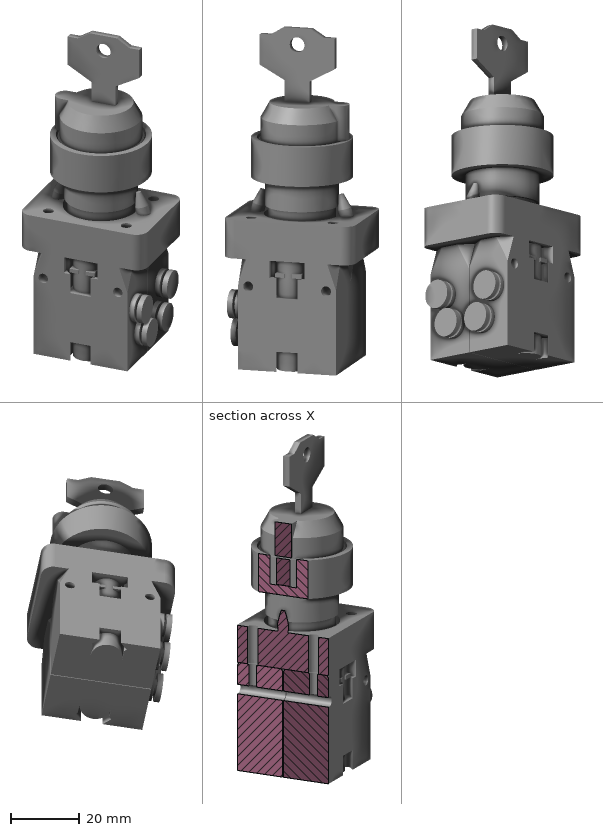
import cadquery as cq
import math

BLOCK_HEIGHT = 33.3
PLATE_THICKNESS = 11.6
NECK_STEP_Z = 47.4
BEZEL_BOTTOM_Z = 56.0
BEZEL_TOP_Z = 67.8
KNOB_CONE_Z = 73.9
KNOB_TOP_Z = 78.4
KEY_TOP_Z = 100.5
PLATE_TOP_Z = BLOCK_HEIGHT + PLATE_THICKNESS

PLATE_LENGTH = 40.0
PLATE_WIDTH = 30.0
PLATE_CORNER_RADIUS = 3.6
PLATE_BORE_DIAMETER = 22.5
SCREW_SPACING_X = 25.0
SCREW_SPACING_Y = 20.0
SCREW_HOLE_DIAMETER = 3.2

PIN_DIAMETER = 4.0
PIN_TIP_DIAMETER = 1.5
PIN_TILT = 14.0
PIN_OFFSET = 13.7
PIN_SHANK_LENGTH = 2.3
PIN_CONE_LENGTH = 4.4
PIN_ROOT_LENGTH = 2.0

BEZEL_DIAMETER = 30.0
BEZEL_BORE_DIAMETER = 26.5
BEZEL_FLOOR_THICKNESS = 3.0
NECK_DIAMETER = 21.7
SPIGOT_DIAMETER = 20.0
BEZEL_FLOOR_Z = BEZEL_BOTTOM_Z + BEZEL_FLOOR_THICKNESS

KNOB_DIAMETER = 24.3
KNOB_TOP_DIAMETER = 19.2
FLANGE_DIAMETER = 25.5
FLANGE_DROP = 0.5
POINTER_WIDTH = 5.9
POINTER_REACH = 14.5
CORE_DIAMETER = 15.0

KEY_THICKNESS = 2.0
KEY_CENTER_X = 1.2
KEY_HEAD_WIDTH = 23.0
KEY_SHOULDER_WIDTH = 16.5
KEY_CROWN_WIDTH = 8.6
KEY_STEM_WIDTH = 7.6
KEY_STEM_TOP_Z = 84.7
KEY_HEAD_BOTTOM_Z = 88.9
KEY_SHOULDER_Z = 98.1
KEY_HOLE_DIAMETER = 4.5
KEY_HOLE_Z = 95.6

BLOCK_LENGTH = 30.0
BLOCK_GAP = 0.2
BLOCK_DEPTH = (PLATE_WIDTH - BLOCK_GAP) / 2
CORNER_CUT_X = 2.7
CORNER_CUT_Y = 4.4
CORNER_CUT_Z = 7.7
CROSS_HOLE_DIAMETER = 3.0
CROSS_HOLE_OFFSET = 12.0
CROSS_HOLE_Z = 25.1
PILOT_HOLE_DIAMETER = 2.4

SLOT_WIDTH = 6.4
RECESS_WIDTH = 10.8
RECESS_FLOOR_Z = 28.1
UPPER_SLOT_FLOOR_Z = 22.0
LOWER_SLOT_HEIGHT = 6.0
COLUMN_RADIUS = 4.7
COLUMN_SETBACK = 1.4
CATCH_INNER_X = 1.1
CATCH_OUTER_X = 4.0
CATCH_HEIGHT = 1.2
CATCH_SETBACK = 1.1

TERMINAL_DIAMETER = 8.5
TERMINAL_GROOVE_DIAMETER = 5.0
TERMINAL_LENGTH = 3.9
TERMINAL_GROOVE_START = 1.5
TERMINAL_GROOVE_WIDTH = 0.8
TERMINAL_LOWER_Z = 9.3
TERMINAL_SPACING_Z = 9.0
TERMINAL_STAGGER_Y = 1.8


def cylinder(diameter, bottom_z, top_z):
    """Cylinder on the Z axis between two heights."""
    return cq.Workplane("XY", origin=(0, 0, bottom_z)).circle(diameter / 2).extrude(top_z - bottom_z)


def make_pin(side):
    """Pointed pin leaning inwards on the -X (-1) or +X (+1) side of the plate."""
    tilt = math.radians(PIN_TILT)
    axis = (-side * math.sin(tilt), 0, math.cos(tilt))
    base = cq.Plane(origin=(side * PIN_OFFSET, 0, PLATE_TOP_Z), xDir=(0, 1, 0), normal=axis)
    pin_radius = PIN_DIAMETER / 2
    tip_radius = PIN_TIP_DIAMETER / 2
    shank = (
        cq.Workplane(base)
        .workplane(offset=-PIN_ROOT_LENGTH)
        .circle(pin_radius)
        .extrude(PIN_ROOT_LENGTH + PIN_SHANK_LENGTH)
    )
    cone = (
        cq.Workplane(base)
        .workplane(offset=PIN_SHANK_LENGTH)
        .circle(pin_radius)
        .workplane(offset=PIN_CONE_LENGTH)
        .circle(tip_radius)
        .loft()
    )
    return shank.union(cone)


def make_plate():
    """Rounded mounting plate with a central bore, four screw holes and two pins."""
    plate = (
        cq.Workplane("XY", origin=(0, 0, BLOCK_HEIGHT))
        .rect(PLATE_LENGTH, PLATE_WIDTH)
        .extrude(PLATE_THICKNESS)
        .edges("|Z")
        .fillet(PLATE_CORNER_RADIUS)
        .faces(">Z")
        .workplane(origin=(0, 0, PLATE_TOP_Z))
        .hole(PLATE_BORE_DIAMETER)
        .faces(">Z")
        .workplane(origin=(0, 0, PLATE_TOP_Z))
        .rect(SCREW_SPACING_X, SCREW_SPACING_Y, forConstruction=True)
        .vertices()
        .hole(SCREW_HOLE_DIAMETER)
    )
    for side in (-1, 1):
        plate = plate.union(make_pin(side))
    return plate


def make_bezel():
    """Open cup that holds the knob, with a stepped neck down to the blocks."""
    spigot = cylinder(SPIGOT_DIAMETER, BLOCK_HEIGHT, NECK_STEP_Z)
    neck = cylinder(NECK_DIAMETER, NECK_STEP_Z, BEZEL_BOTTOM_Z)
    cup = cylinder(BEZEL_DIAMETER, BEZEL_BOTTOM_Z, BEZEL_TOP_Z)
    cavity = cylinder(BEZEL_BORE_DIAMETER, BEZEL_FLOOR_Z, BEZEL_TOP_Z)
    return spigot.union(neck).union(cup.cut(cavity))


def make_core():
    """Lock core, flush with the top of the knob."""
    return cylinder(CORE_DIAMETER, BEZEL_FLOOR_Z, KNOB_TOP_Z)


def make_knob():
    """Flanged knob with a conical top and a round-ended pointer towards -X."""
    flange_top_z = BEZEL_TOP_Z - FLANGE_DROP
    profile = [
        (0, BEZEL_FLOOR_Z),
        (FLANGE_DIAMETER / 2, BEZEL_FLOOR_Z),
        (FLANGE_DIAMETER / 2, flange_top_z),
        (KNOB_DIAMETER / 2, flange_top_z),
        (KNOB_DIAMETER / 2, KNOB_CONE_Z),
        (KNOB_TOP_DIAMETER / 2, KNOB_TOP_Z),
        (0, KNOB_TOP_Z),
    ]
    body = cq.Workplane("XZ").polyline(profile).close().revolve(360, (0, 0, 0), (0, 1, 0))
    half_width = POINTER_WIDTH / 2
    pointer = (
        cq.Workplane("XY", origin=(0, 0, BEZEL_TOP_Z))
        .moveTo(0, half_width)
        .lineTo(half_width - POINTER_REACH, half_width)
        .threePointArc((-POINTER_REACH, 0), (half_width - POINTER_REACH, -half_width))
        .lineTo(0, -half_width)
        .close()
        .extrude(KNOB_TOP_Z - BEZEL_TOP_Z)
    )
    return body.union(pointer).cut(make_core())


def make_key():
    """Flat key standing on the lock core."""
    right_side = [
        (KEY_STEM_WIDTH / 2, KNOB_TOP_Z),
        (KEY_STEM_WIDTH / 2, KEY_STEM_TOP_Z),
        (KEY_HEAD_WIDTH / 2, KEY_HEAD_BOTTOM_Z),
        (KEY_HEAD_WIDTH / 2, KEY_SHOULDER_Z),
        (KEY_SHOULDER_WIDTH / 2, KEY_SHOULDER_Z),
        (KEY_CROWN_WIDTH / 2, KEY_TOP_Z),
    ]
    left_side = [(-x, z) for x, z in reversed(right_side)]
    outline = cq.Workplane("XZ", origin=(KEY_CENTER_X, 0, 0)).polyline(right_side + left_side).close()
    blank = outline.extrude(KEY_THICKNESS / 2, both=True)
    hole = (
        cq.Workplane("XZ", origin=(KEY_CENTER_X, 0, KEY_HOLE_Z))
        .circle(KEY_HOLE_DIAMETER / 2)
        .extrude(KEY_THICKNESS, both=True)
    )
    return blank.cut(hole)


def corner_cut(corner_x, corner_y, inward_x, inward_y):
    """Tetrahedron that bevels one top corner of a block."""
    corner = cq.Vector(corner_x, corner_y, BLOCK_HEIGHT)
    along_x = corner + cq.Vector(inward_x * CORNER_CUT_X, 0, 0)
    along_y = corner + cq.Vector(0, inward_y * CORNER_CUT_Y, 0)
    below = corner - cq.Vector(0, 0, CORNER_CUT_Z)
    triangles = [
        (corner, along_x, along_y),
        (corner, along_x, below),
        (corner, along_y, below),
        (along_x, along_y, below),
    ]
    faces = [cq.Face.makeFromWires(cq.Wire.makePolygon(points, close=True)) for points in triangles]
    return cq.Workplane(cq.Solid.makeSolid(cq.Shell.makeShell(faces)))


def slot_cutter(mouth_width, bottom_z, top_z, outer_y):
    """Slot whose side walls run from the mouth to the recess width and narrow again to the column."""
    column_y = outer_y + COLUMN_SETBACK + COLUMN_RADIUS
    shoulder_depth = (RECESS_WIDTH - SLOT_WIDTH) / 2
    neck_depth = shoulder_depth + RECESS_WIDTH / 2 - COLUMN_RADIUS
    right_side = [
        (mouth_width / 2, outer_y),
        (RECESS_WIDTH / 2, outer_y + shoulder_depth),
        (COLUMN_RADIUS, outer_y + neck_depth),
        (COLUMN_RADIUS, column_y),
    ]
    left_side = [(-x, y) for x, y in reversed(right_side)]
    height = top_z - bottom_z
    outline = cq.Workplane("XY", origin=(0, 0, bottom_z)).polyline(right_side + left_side).close()
    cavity = outline.extrude(height)
    column = cq.Workplane("XY", origin=(0, column_y, bottom_z)).circle(COLUMN_RADIUS).extrude(height)
    return cavity.cut(column)


def make_catches(outer_y):
    """Two small ledges on the column, level with the recess floor."""
    length = CATCH_OUTER_X - CATCH_INNER_X
    depth = COLUMN_SETBACK + COLUMN_RADIUS - CATCH_SETBACK
    catches = cq.Workplane("XY")
    for side in (-1, 1):
        center_x = side * (CATCH_INNER_X + CATCH_OUTER_X) / 2
        ledge = cq.Workplane("XY").box(length, depth, CATCH_HEIGHT, centered=(True, False, False))
        catches = catches.add(ledge.translate((center_x, outer_y + CATCH_SETBACK, RECESS_FLOOR_Z)))
    return catches.combine()


def make_terminal(y, z):
    """Grooved terminal screw head on the +X face of a block."""
    base = cq.Workplane("YZ", origin=(BLOCK_LENGTH / 2, y, z))
    head = base.circle(TERMINAL_DIAMETER / 2).extrude(TERMINAL_LENGTH)
    groove = (
        base.workplane(offset=TERMINAL_GROOVE_START)
        .circle(TERMINAL_DIAMETER / 2)
        .circle(TERMINAL_GROOVE_DIAMETER / 2)
        .extrude(TERMINAL_GROOVE_WIDTH)
    )
    return head.cut(groove)


def make_front_block():
    """Contact block on the -Y side."""
    outer_y = -PLATE_WIDTH / 2
    half_length = BLOCK_LENGTH / 2
    block = (
        cq.Workplane("XY", origin=(0, outer_y, 0))
        .box(BLOCK_LENGTH, BLOCK_DEPTH, BLOCK_HEIGHT, centered=(True, False, False))
    )

    for side in (-1, 1):
        block = block.cut(corner_cut(side * half_length, outer_y, -side, 1))
        block = block.cut(corner_cut(side * half_length, outer_y + BLOCK_DEPTH, -side, -1))

    for side in (-1, 1):
        cross_hole = (
            cq.Workplane("XZ", origin=(side * CROSS_HOLE_OFFSET, 0, CROSS_HOLE_Z))
            .circle(CROSS_HOLE_DIAMETER / 2)
            .extrude(PLATE_WIDTH)
        )
        pilot_hole = cylinder(PILOT_HOLE_DIAMETER, CROSS_HOLE_Z, BLOCK_HEIGHT)
        pilot_position = (side * SCREW_SPACING_X / 2, -SCREW_SPACING_Y / 2, 0)
        block = block.cut(cross_hole).cut(pilot_hole.translate(pilot_position))

    block = block.cut(slot_cutter(RECESS_WIDTH, RECESS_FLOOR_Z, BLOCK_HEIGHT, outer_y))
    block = block.cut(slot_cutter(SLOT_WIDTH, UPPER_SLOT_FLOOR_Z, RECESS_FLOOR_Z, outer_y))
    block = block.cut(slot_cutter(SLOT_WIDTH, 0, LOWER_SLOT_HEIGHT, outer_y))
    block = block.union(make_catches(outer_y))

    middle_y = outer_y + BLOCK_DEPTH / 2
    for level, shift_y in enumerate((TERMINAL_STAGGER_Y, -TERMINAL_STAGGER_Y)):
        height = TERMINAL_LOWER_Z + level * TERMINAL_SPACING_Z
        block = block.union(make_terminal(middle_y + shift_y, height))
    return block


key = make_key()
core = make_core()
knob = make_knob()
bezel = make_bezel()
plate = make_plate()
front_block = make_front_block()
blocks = [front_block, front_block.mirror("XZ")]

result = cq.Compound.makeCompound(
    [key.val(), core.val(), knob.val(), bezel.val(), plate.val(), *[block.val() for block in blocks]]
)